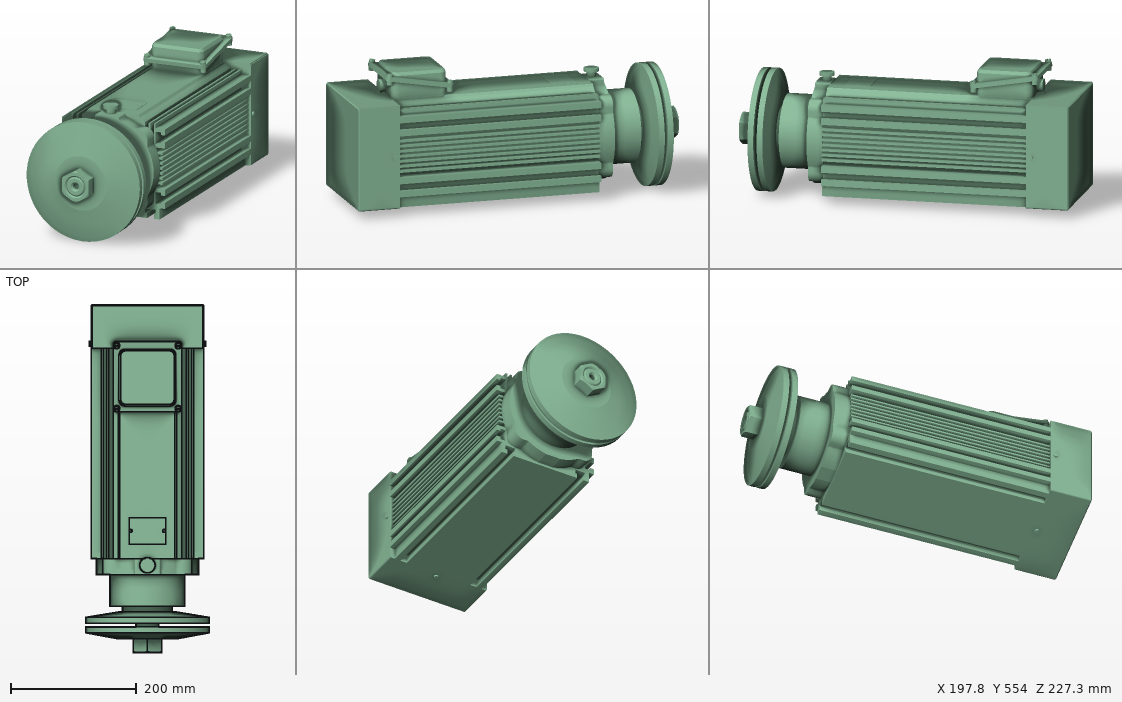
import cadquery as cq
import math


NUT_BACK = 21.5
FRONT_RIM_START = 31.5
FRONT_RIM_END = 41.0
REAR_RIM_START = 46.5
REAR_RIM_END = 56.0
REAR_DISC_BACK = 65.0
HOUSING_FRONT = 73.5
FLANGE_FRONT = 124.0
BODY_FRONT = 149.5
COWL_FRONT = 485.0
COWL_BACK = 554.0

PULLEY_R = 98.9
PULLEY_FACE_R = 45.0
SHAFT_R = 18.5
HUB_R = 40.0
HOUSING_R = 60.0
NUT_FLATS = 46.0
NUT_CORNER_TRIM = 3.0
NUT_TRIM_LENGTH = 1.5
GROOVE_OUTER_R = 18.5
GROOVE_INNER_R = 14.0
GROOVE_DEPTH = 2.0
CENTRE_MOUTH_R = 8.0
CENTRE_HOLE_R = 5.0
CENTRE_SINK_DEPTH = 3.0
CENTRE_HOLE_DEPTH = 11.0
CENTRE_POINT_DEPTH = 16.0

FLANGE_R = 81.5
FLANGE_FLAT_Z = -80.5
BOSS_HALF_X = 71.0
BOSS_HALF_Z = 67.0
BOSS_CORNER_R = 16.0
BOSS_ROOT_R = 5.5
PAD_HALF_X = 18.0
PAD_TOP = 86.0
PAD_SHOULDER_X = 21.0
PAD_SHOULDER_Z = 82.5
PAD_ROOT_X = 24.5
PAD_BULGE = 0.5

PLUG_Y = 139.0
PLUG_HEAD_R = 12.0
PLUG_STEM_R = 7.0
PLUG_HEAD_BOTTOM = 94.0
PLUG_TOP = 99.5

BODY_HALF_X = 90.0
BODY_HALF_Z = 85.0
RAIL_Z = 66.0
FOOT_HALF_X = 80.5
STATOR_R = 78.5
FIN_COUNT = 7
FIN_PITCH = 8.5
FIN_THICKNESS = 3.5
FIN_TIP_X = 86.0
FIN_BAY_HALF_Z = 34.5
SLOT_LIP = 10.0
SLOT_MOUTH = 11.5
SLOT_WALL = 5.5
SIDE_LIP_DEPTH = 6.5
SIDE_SLOT_DEPTH = 16.5
FOOT_LIP_DEPTH = 8.5
FOOT_SLOT_DEPTH = 15.5
PLATE_FLAT_X = 44.0
PLATE_SHOULDER_X = 46.5
PLATE_SHOULDER_Z = 81.0
PLATE_EDGE_X = 55.0
PLATE_EDGE_Z = 74.0
PLATE_BULGE = 0.5
TOP_FIN_Z = 73.5
TOP_FIN_THICKNESS = 3.5
TOP_FIN_STARTS = (61.5, 70.5)
VALLEY_Z = 52.5

COWL_BEND_R = 3.0
COWL_SEAM = 1.5
COWL_SCREW_Y = 492.0
COWL_SCREW_R = 4.0
COWL_SCREW_HEIGHT = 3.0

LABEL_Y = 194.0
LABEL_WIDTH = 59.0
LABEL_LENGTH = 42.0
LABEL_THICKNESS = 0.5
RIVET_X = 26.5
RIVET_R = 2.0
RIVET_HEIGHT = 1.5

BOX_Y = 438.0
BOX_WIDTH = 91.0
BOX_LENGTH = 91.0
BOX_CORNER_R = 10.5
BOX_TOP = 127.5
BOX_TOP_DROP = 5.0
BOX_TOP_INSET = 3.0
JOINT_TILT = 10.0
JOINT_Y = 440.0
JOINT_Z = 111.0
JOINT_WIDTH = 109.0
JOINT_LENGTH = 113.0
JOINT_THICKNESS = 6.5
JOINT_CORNER_R = 5.5
BOX_SCREW_R = 4.7
BOX_SCREW_HEIGHT = 4.6
BOX_SCREW_SLOT = 1.5
BOX_BOSS_LENGTH = 6.5
GLAND_R = 10.5
GLAND_Z = 97.0
GLAND_BACK = 493.5
GASKET_MARGIN = 0.5
GASKET_THICKNESS = 1.0

OVERLAP = 3.0
TOLERANCE = 0.05


def section(y_back):
    """Sketch plane across the shaft; a positive extrusion runs toward the tip."""
    return cq.Workplane("XZ", origin=(0, y_back, 0))


def block(x0, x1, y0, y1, z0, z1):
    size = (x1 - x0, y1 - y0, z1 - z0)
    return cq.Workplane("XY").box(*size, centered=False).translate((x0, y0, z0))


def body_block(x0, x1, z0, z1):
    """Bar running the full length of the finned body."""
    return block(x0, x1, BODY_FRONT, COWL_FRONT, z0, z1)


def turned(profile):
    """Solid of revolution about the shaft axis from (radius, Y) points."""
    return cq.Workplane("XY").polyline(profile).close().revolve(360, (0, 0, 0), (0, 1, 0))


def both_sides(shape):
    return shape.union(shape.mirror("YZ"))


def upright(x, y, z0, z1, radius):
    return cq.Workplane("XY", origin=(x, y, z0)).circle(radius).extrude(z1 - z0)



def make_drive():
    profile = [
        (0, NUT_BACK - OVERLAP),
        (SHAFT_R, NUT_BACK - OVERLAP),
        (SHAFT_R, NUT_BACK),
        (PULLEY_FACE_R, NUT_BACK),
        (PULLEY_R, FRONT_RIM_START),
        (PULLEY_R, FRONT_RIM_END),
        (SHAFT_R, FRONT_RIM_END),
        (SHAFT_R, REAR_RIM_START),
        (PULLEY_R, REAR_RIM_START),
        (PULLEY_R, REAR_RIM_END),
        (PULLEY_FACE_R, REAR_DISC_BACK),
        (HUB_R, REAR_DISC_BACK),
        (HUB_R, HOUSING_FRONT),
        (HOUSING_R, HOUSING_FRONT),
        (HOUSING_R, FLANGE_FRONT + OVERLAP),
        (0, FLANGE_FRONT + OVERLAP),
    ]
    return turned(profile)


def make_nut():
    across_corners = NUT_FLATS / math.cos(math.pi / 6)
    nut = section(NUT_BACK + OVERLAP).polygon(6, across_corners).extrude(NUT_BACK + OVERLAP)
    nut = nut.rotate((0, 0, 0), (0, 1, 0), 30)

    corner_r = across_corners / 2
    envelope = turned([
        (0, 0),
        (corner_r - NUT_CORNER_TRIM, 0),
        (corner_r, NUT_TRIM_LENGTH),
        (corner_r, NUT_BACK + OVERLAP),
        (0, NUT_BACK + OVERLAP),
    ])
    groove = turned([
        (GROOVE_INNER_R, 0),
        (GROOVE_OUTER_R, 0),
        ((GROOVE_INNER_R + GROOVE_OUTER_R) / 2, GROOVE_DEPTH),
    ])
    centre_hole = turned([
        (0, 0),
        (CENTRE_MOUTH_R, 0),
        (CENTRE_HOLE_R, CENTRE_SINK_DEPTH),
        (CENTRE_HOLE_R, CENTRE_HOLE_DEPTH),
        (0, CENTRE_POINT_DEPTH),
    ])
    return nut.intersect(envelope).cut(groove).cut(centre_hole)



def is_boss_root(edge):
    """True for the edges where the corner bosses run into the round flange."""
    x, z = abs(edge.Center().x), abs(edge.Center().z)
    return abs(math.hypot(x, z) - FLANGE_R) < TOLERANCE and min(x, z) > FLANGE_R / 3


def make_pad(plane, depth):
    """Flat pad for the vent plug, blended into the round flange by S-shaped flanks."""
    root_z = math.sqrt(FLANGE_R ** 2 - PAD_ROOT_X ** 2)
    outer_bend = ((PAD_HALF_X + PAD_SHOULDER_X) / 2 + PAD_BULGE, (PAD_TOP + PAD_SHOULDER_Z) / 2 + PAD_BULGE)
    inner_bend = ((PAD_SHOULDER_X + PAD_ROOT_X) / 2 - PAD_BULGE, (PAD_SHOULDER_Z + root_z) / 2 - PAD_BULGE)
    half_pad = (
        plane.moveTo(0, PAD_TOP)
        .lineTo(PAD_HALF_X, PAD_TOP)
        .threePointArc(outer_bend, (PAD_SHOULDER_X, PAD_SHOULDER_Z))
        .threePointArc(inner_bend, (PAD_ROOT_X, root_z))
        .lineTo(0, 0)
        .close()
        .extrude(depth)
    )
    return both_sides(half_pad)


def make_flange():
    depth = BODY_FRONT - FLANGE_FRONT
    plane = section(BODY_FRONT)
    disc = plane.circle(FLANGE_R).extrude(depth)
    below = block(-FLANGE_R, FLANGE_R, FLANGE_FRONT, BODY_FRONT, -FLANGE_R, FLANGE_FLAT_Z)
    bosses = plane.rect(2 * BOSS_HALF_X, 2 * BOSS_HALF_Z).extrude(depth)
    bosses = bosses.edges("|Y").fillet(BOSS_CORNER_R)
    flange = disc.cut(below).union(bosses)
    flange = flange.edges("|Y").filter(is_boss_root).fillet(BOSS_ROOT_R)
    return flange.union(make_pad(plane, depth))


def make_vent_plug():
    stem = upright(0, PLUG_Y, PAD_TOP - OVERLAP, PLUG_HEAD_BOTTOM, PLUG_STEM_R)
    return stem.union(upright(0, PLUG_Y, PLUG_HEAD_BOTTOM, PLUG_TOP, PLUG_HEAD_R))



def make_top_plate():
    middle = ((PLATE_SHOULDER_X + PLATE_EDGE_X) / 2, (PLATE_SHOULDER_Z + PLATE_EDGE_Z) / 2 + PLATE_BULGE)
    return (
        section(COWL_FRONT)
        .moveTo(-PLATE_FLAT_X, BODY_HALF_Z)
        .lineTo(PLATE_FLAT_X, BODY_HALF_Z)
        .lineTo(PLATE_SHOULDER_X, PLATE_SHOULDER_Z)
        .threePointArc(middle, (PLATE_EDGE_X, PLATE_EDGE_Z))
        .lineTo(PLATE_EDGE_X, 0)
        .lineTo(-PLATE_EDGE_X, 0)
        .lineTo(-PLATE_EDGE_X, PLATE_EDGE_Z)
        .threePointArc((-middle[0], middle[1]), (-PLATE_SHOULDER_X, PLATE_SHOULDER_Z))
        .close()
        .extrude(COWL_FRONT - BODY_FRONT)
    )


def make_fin_gaps():
    """Gaps between the horizontal cooling fins of one side, down to the round stator wall."""
    gaps = body_block(0, BODY_HALF_X, -FIN_BAY_HALF_Z, FIN_BAY_HALF_Z)
    gaps = gaps.cut(section(COWL_FRONT).circle(STATOR_R).extrude(COWL_FRONT - BODY_FRONT))
    for i in range(FIN_COUNT):
        z = (i - (FIN_COUNT - 1) / 2) * FIN_PITCH
        gaps = gaps.cut(body_block(0, FIN_TIP_X, z - FIN_THICKNESS / 2, z + FIN_THICKNESS / 2))
    return gaps


def make_side_slot():
    """T-slot in the upper part of one side."""
    mouth_top = RAIL_Z - SLOT_LIP
    mouth_bottom = mouth_top - SLOT_MOUTH
    floor_x = BODY_HALF_X - SIDE_SLOT_DEPTH
    mouth = body_block(floor_x, BODY_HALF_X, mouth_bottom, mouth_top)
    pocket_height = SLOT_MOUTH + 2 * (SLOT_LIP - SLOT_WALL)
    pocket_top = RAIL_Z - SLOT_WALL
    pocket = body_block(floor_x, BODY_HALF_X - SIDE_LIP_DEPTH, pocket_top - pocket_height, pocket_top)
    return mouth.union(pocket)


def make_foot_slot():
    """T-slot opening downward beside one foot."""
    mouth_outer = FOOT_HALF_X - SLOT_LIP
    ceiling_z = -BODY_HALF_Z + FOOT_SLOT_DEPTH
    mouth = body_block(mouth_outer - SLOT_MOUTH, mouth_outer, -BODY_HALF_Z, ceiling_z)
    pocket_outer = FOOT_HALF_X - SIDE_LIP_DEPTH
    pocket_width = SLOT_MOUTH + 2 * (SLOT_LIP - SIDE_LIP_DEPTH)
    pocket = body_block(pocket_outer - pocket_width, pocket_outer, -BODY_HALF_Z + FOOT_LIP_DEPTH, ceiling_z)
    return mouth.union(pocket)


def make_body():
    wall_x = TOP_FIN_STARTS[-1] + TOP_FIN_THICKNESS
    body = body_block(-BODY_HALF_X, BODY_HALF_X, -RAIL_Z, RAIL_Z)
    body = body.cut(both_sides(body_block(PLATE_EDGE_X, wall_x, VALLEY_Z, RAIL_Z)))
    body = body.union(body_block(-FOOT_HALF_X, FOOT_HALF_X, -BODY_HALF_Z, -RAIL_Z))
    body = body.union(make_top_plate())
    for x in TOP_FIN_STARTS:
        body = body.union(both_sides(body_block(x, x + TOP_FIN_THICKNESS, VALLEY_Z, TOP_FIN_Z)))

    side_slot = make_side_slot()
    for void in (make_fin_gaps(), side_slot, side_slot.mirror("XY"), make_foot_slot()):
        body = body.cut(both_sides(void))
    return body



def make_cowl():
    cowl = block(-BODY_HALF_X, BODY_HALF_X, COWL_FRONT, COWL_BACK, -BODY_HALF_Z, BODY_HALF_Z)
    cowl = cowl.edges("|Y and <Z").fillet(COWL_BEND_R)
    top_seam = block(
        BODY_HALF_X - COWL_SEAM, BODY_HALF_X, COWL_FRONT, COWL_BACK, BODY_HALF_Z - COWL_SEAM, BODY_HALF_Z
    )
    cowl = cowl.cut(both_sides(top_seam)).faces(">Y").chamfer(COWL_SEAM)

    screw = cq.Workplane("XY").circle(COWL_SCREW_R).extrude(OVERLAP + COWL_SCREW_HEIGHT)
    for angle, reach in ((0, BODY_HALF_Z), (90, BODY_HALF_X), (180, BODY_HALF_Z), (270, BODY_HALF_X)):
        placed = screw.translate((0, COWL_SCREW_Y, reach - OVERLAP))
        cowl = cowl.union(placed.rotate((0, 0, 0), (0, 1, 0), angle))
    return cowl



def make_name_plate():
    half_x = LABEL_WIDTH / 2
    half_y = LABEL_LENGTH / 2
    label = block(
        -half_x, half_x, LABEL_Y - half_y, LABEL_Y + half_y,
        BODY_HALF_Z - OVERLAP, BODY_HALF_Z + LABEL_THICKNESS
    )
    rivet = upright(RIVET_X, LABEL_Y, BODY_HALF_Z - OVERLAP, BODY_HALF_Z + RIVET_HEIGHT, RIVET_R)
    return label.union(both_sides(rivet))



def make_box_joint():
    """Sloping joint flange with slotted screw heads on its corners and upright bosses below."""
    half = JOINT_THICKNESS / 2
    joint = cq.Workplane("XY").box(JOINT_WIDTH, JOINT_LENGTH, JOINT_THICKNESS)
    joint = joint.edges("|Z").fillet(JOINT_CORNER_R)
    corner_x = JOINT_WIDTH / 2 - JOINT_CORNER_R
    corner_y = JOINT_LENGTH / 2 - JOINT_CORNER_R
    corners = [(x, y) for x in (-corner_x, corner_x) for y in (-corner_y, corner_y)]

    head_top = half + BOX_SCREW_HEIGHT
    for x, y in corners:
        head = upright(x, y, 0, head_top, BOX_SCREW_R)
        slot = block(
            x - BOX_SCREW_R, x + BOX_SCREW_R, y - BOX_SCREW_SLOT / 2, y + BOX_SCREW_SLOT / 2,
            head_top - BOX_SCREW_SLOT, head_top
        )
        joint = joint.union(head.cut(slot))
    joint = joint.rotate((0, 0, 0), (1, 0, 0), JOINT_TILT)

    tilt = math.radians(JOINT_TILT)
    for x, y in corners:
        middle_z = y * math.sin(tilt)
        boss_bottom = middle_z - half - BOX_BOSS_LENGTH
        joint = joint.union(upright(x, y * math.cos(tilt), boss_bottom, middle_z, BOX_SCREW_R))
    return joint.translate((0, JOINT_Y, JOINT_Z))


def make_terminal_box():
    base_z = BODY_HALF_Z - OVERLAP
    base = cq.Workplane("XY", origin=(0, BOX_Y, base_z))
    housing = base.rect(BOX_WIDTH, BOX_LENGTH).extrude(BOX_TOP - base_z)
    housing = housing.edges("|Z").fillet(BOX_CORNER_R)
    housing = housing.faces(">Z").edges().chamfer(BOX_TOP_DROP, BOX_TOP_INSET)
    gasket = base.rect(BOX_WIDTH + 2 * GASKET_MARGIN, BOX_LENGTH + 2 * GASKET_MARGIN)
    gasket = gasket.extrude(OVERLAP + GASKET_THICKNESS).edges("|Z").fillet(BOX_CORNER_R)
    gland = section(GLAND_BACK).center(0, GLAND_Z).circle(GLAND_R).extrude(GLAND_BACK - BOX_Y)
    return housing.union(gasket).union(gland).union(make_box_joint())


result = (
    make_body()
    .union(make_cowl())
    .union(make_flange())
    .union(make_vent_plug())
    .union(make_drive())
    .union(make_nut())
    .union(make_name_plate())
    .union(make_terminal_box())
)